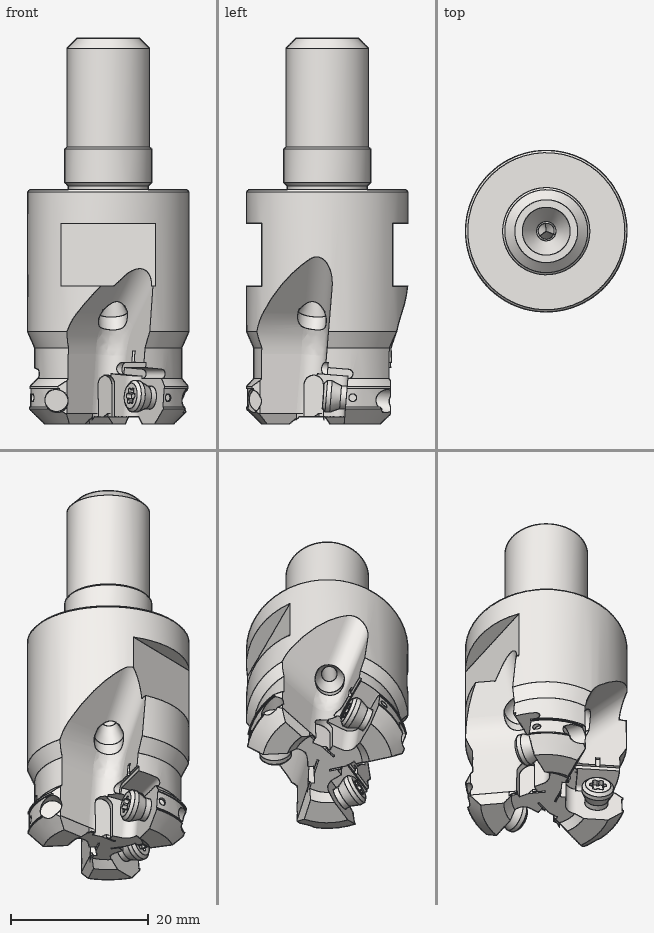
import cadquery as cq
import math

TOTAL_HEIGHT = 56.05
TOOTH_COUNT = 3
FIRST_TOOTH_ANGLE = -60.0

BODY_DIAMETER = 23.5
BODY_RADIUS = BODY_DIAMETER / 2
BODY_TOP = 34.05
BODY_BOTTOM = 13.45
BODY_CHAMFER = 0.35
NECK_RADIUS = 10.7
NECK_TOP = 11.1
COLLAR_TOP = 6.6
COLLAR_RIM_TOP = 5.5
COLLAR_RIM_BOTTOM = 2.2
COLLAR_RIM_HEIGHT = 0.3
COLLAR_BAND_RADIUS = 11.6
END_FACE_RADIUS = 9.5

SHANK_DIAMETER = 12.05
SHANK_RADIUS = SHANK_DIAMETER / 2
SHANK_CHAMFER = 1.45
PILOT_RADIUS = 6.35
PILOT_TOP = 40.25
PILOT_BOTTOM = 35.1
UNDERCUT_RADIUS = 5.8
UNDERCUT_CHAMFER = 0.5

END_RECESS_DEPTH = 1.05
END_RECESS_OUTER_RADIUS = 6.15
END_RECESS_INNER_RADIUS = 5.05

FLAT_DISTANCE = 9.5
FLAT_BOTTOM = 20.05
FLAT_TOP = 29.15

CENTRE_MOUTH_RADIUS = 3.5
CENTRE_MOUTH_HALF_ANGLE = 30.0
BORE_RADIUS = 1.4
BRANCH_RADIUS = 1.1
BRANCH_START = 33.05
OUTLET_RADIUS = 2.15
OUTLET_POINT = cq.Vector(5.25, -2.25, 15.15)
OUTLET_ABOVE = 1.1
OUTLET_BELOW = 3.35
OUTLET_TAPER_LENGTH = 2.8

RAKE_ANGLE = 4.7
RAKE_PIVOT_HEIGHT = 11.2
FLOOR_NORMAL_ANGLE = 19.0
FLOOR_OFFSET = 1.5
FLOOR_STRAIGHT_TOP = 10.15
FLOOR_ARC_RADIUS = 9.35
FLOOR_SLOPE_ANGLE = 39.0
FLOOR_BEVEL_HEIGHT = 1.55
FLOOR_BEVEL_DEPTH = 0.75
FLUTE_CORNER_RADIUS = 2.75
CUT_REACH = 16.8
CUT_MARGIN = 1.1
EDGE_TOLERANCE = 0.005

SEAT_DEPTH = 3.35
SEAT_INNER = 2.85
SEAT_CORNER_RADIUS = 1.7
SEAT_TOP = 7.2
SEAT_RELIEF_RADIUS = 0.7
WALL_RELIEF_RADIUS = 0.9
WALL_RELIEF_START = 4.75
WALL_RELIEF_DEPTH = 0.35
WALL_RELIEF_HEIGHT = 8.05
SLOT_BOTTOM = 2.0
SLOT_WIDTH = 2.8
SLOT_CENTRE = -1.95
SLOT_TOP = 7.1
WALL_GROOVE_RADIUS = 0.35
WALL_GROOVE_TOP = 10.65
MARK_HOLE_RADIUS = 0.55
MARK_HOLE_OFFSET = 3.7
MARK_HOLE_FLOOR = 10.55

HEEL_DISTANCE = 9.2
HEEL_INNER = 4.5

SCREW_DISTANCE = 7.5
SCREW_HEIGHT = 4.1
SCREW_END = 7.35
SCREW_RADIUS = 1.7
HEAD_RADIUS = 2.3
HEAD_FACE_RADIUS = 1.85
HEAD_CHAMFER = 0.45
HEAD_LENGTH = 0.7
HEAD_CONE_END = 2.5
STAR_RADIUS = 0.9
STAR_LOBE_RADIUS = 0.35
STAR_LOBES = 6
STAR_DEPTH = 0.85


def rake(shape):
    """Lean a shape of the tooth frame by the rake angle of the flute wall."""
    pivot = (0, 0, RAKE_PIVOT_HEIGHT)
    return shape.rotate(pivot, (1, 0, RAKE_PIVOT_HEIGHT), -RAKE_ANGLE)


def unrake(shape):
    """Lean a shape the opposite way, so that the raked wall stands upright."""
    pivot = (0, 0, RAKE_PIVOT_HEIGHT)
    return shape.rotate(pivot, (1, 0, RAKE_PIVOT_HEIGHT), RAKE_ANGLE)


def at_tooth(shape, index):
    """Turn a shape from the tooth frame to the place of one tooth."""
    angle = FIRST_TOOTH_ANGLE + index * 360 / TOOTH_COUNT
    return shape.rotate((0, 0, 0), (0, 0, 1), angle)


def rod(radius, start, end):
    """Cylinder between two points."""
    axis = end - start
    return cq.Workplane(cq.Solid.makeCylinder(radius, axis.Length, start, axis))


def block(x_range, y_range, z_range):
    """Box between the low and high limits along each axis."""
    sizes = [high - low for low, high in (x_range, y_range, z_range)]
    corner = (x_range[0], y_range[0], z_range[0])
    return cq.Workplane().box(*sizes, centered=False).translate(corner)


def turned_body():
    outline = [
        (0, 0),
        (END_FACE_RADIUS, 0),
        (BODY_RADIUS, COLLAR_RIM_BOTTOM),
        (BODY_RADIUS, COLLAR_RIM_BOTTOM + COLLAR_RIM_HEIGHT),
        (COLLAR_BAND_RADIUS, COLLAR_RIM_BOTTOM + COLLAR_RIM_HEIGHT),
        (COLLAR_BAND_RADIUS, COLLAR_RIM_TOP - COLLAR_RIM_HEIGHT),
        (BODY_RADIUS, COLLAR_RIM_TOP - COLLAR_RIM_HEIGHT),
        (BODY_RADIUS, COLLAR_RIM_TOP),
        (NECK_RADIUS, COLLAR_TOP),
        (NECK_RADIUS, NECK_TOP),
        (BODY_RADIUS, BODY_BOTTOM),
        (BODY_RADIUS, BODY_TOP - BODY_CHAMFER),
        (BODY_RADIUS - BODY_CHAMFER, BODY_TOP),
        (UNDERCUT_RADIUS, BODY_TOP),
        (UNDERCUT_RADIUS, PILOT_BOTTOM - UNDERCUT_CHAMFER),
        (PILOT_RADIUS, PILOT_BOTTOM),
        (PILOT_RADIUS, PILOT_TOP - (PILOT_RADIUS - SHANK_RADIUS)),
        (SHANK_RADIUS, PILOT_TOP),
        (SHANK_RADIUS, TOTAL_HEIGHT - SHANK_CHAMFER),
        (SHANK_RADIUS - SHANK_CHAMFER, TOTAL_HEIGHT),
        (0, TOTAL_HEIGHT),
    ]
    return cq.Workplane("XZ").polyline(outline).close().revolve(360, (0, 0), (0, 1))


def end_recess():
    outline = [
        (0, 0),
        (END_RECESS_OUTER_RADIUS, 0),
        (END_RECESS_INNER_RADIUS, END_RECESS_DEPTH),
        (0, END_RECESS_DEPTH),
    ]
    return cq.Workplane("XZ").polyline(outline).close().revolve(360, (0, 0), (0, 1))


def wrench_flat(side):
    near, far = sorted((side * FLAT_DISTANCE, side * CUT_REACH))
    return block((-CUT_REACH, CUT_REACH), (near, far), (FLAT_BOTTOM, FLAT_TOP))


def centre_bore():
    mouth_depth = (CENTRE_MOUTH_RADIUS - BORE_RADIUS) / math.tan(math.radians(CENTRE_MOUTH_HALF_ANGLE))
    outline = [
        (0, BRANCH_START),
        (BORE_RADIUS, BRANCH_START),
        (BORE_RADIUS, TOTAL_HEIGHT - mouth_depth),
        (CENTRE_MOUTH_RADIUS, TOTAL_HEIGHT),
        (0, TOTAL_HEIGHT),
    ]
    return cq.Workplane("XZ").polyline(outline).close().revolve(360, (0, 0), (0, 1))


def coolant_branch():
    """Channel from the centre bore to its wider outlet in the flute."""
    start = cq.Vector(0, 0, BRANCH_START)
    down = (OUTLET_POINT - start).normalized()
    outlet_top = OUTLET_POINT - down * OUTLET_ABOVE
    channel = rod(BRANCH_RADIUS, start, outlet_top)
    outlet = rod(OUTLET_RADIUS, outlet_top, OUTLET_POINT + down * OUTLET_BELOW)
    taper = cq.Solid.makeCone(OUTLET_RADIUS, BRANCH_RADIUS, OUTLET_TAPER_LENGTH, outlet_top, down * -1)
    return channel.union(outlet).union(cq.Workplane(taper))


def flute():
    """Space in front of a tooth: a floor that runs out upward, a raked wall and a rounded corner."""
    slope = math.radians(FLOOR_SLOPE_ANGLE)
    half = slope / 2

    def arc_point(angle):
        return (
            FLOOR_OFFSET + FLOOR_ARC_RADIUS * (1 - math.cos(angle)),
            FLOOR_STRAIGHT_TOP + FLOOR_ARC_RADIUS * math.sin(angle),
        )

    arc_end = arc_point(slope)
    runout_top = arc_end[1] + (CUT_REACH - arc_end[0]) / math.tan(slope)
    floor = (
        cq.Workplane("XZ")
        .moveTo(FLOOR_OFFSET, -CUT_MARGIN)
        .lineTo(FLOOR_OFFSET, FLOOR_STRAIGHT_TOP)
        .threePointArc(arc_point(half), arc_end)
        .lineTo(CUT_REACH, runout_top)
        .lineTo(CUT_REACH, -CUT_MARGIN)
        .close()
        .extrude(CUT_REACH, both=True)
        .rotate((0, 0, 0), (0, 0, 1), FLOOR_NORMAL_ANGLE)
    )
    below_wall = block((-2 * CUT_REACH, 2 * CUT_REACH), (-2 * CUT_REACH, 0), (-CUT_REACH, TOTAL_HEIGHT))
    space = unrake(floor).intersect(below_wall)
    corner = cq.selectors.BoxSelector(
        (0, -EDGE_TOLERANCE, 0), (CUT_REACH - CUT_MARGIN, EDGE_TOLERANCE, TOTAL_HEIGHT)
    )
    return rake(space.edges(corner).fillet(FLUTE_CORNER_RADIUS))


def insert_seat():
    """Pocket for the insert with relief grooves along its upper edges."""
    pocket = block((SEAT_INNER, CUT_REACH), (-CUT_MARGIN, SEAT_DEPTH), (-CUT_REACH, SEAT_TOP))
    pocket = pocket.edges("|Z and >Y and <X").fillet(SEAT_CORNER_RADIUS)
    relief_start = SEAT_INNER + SEAT_CORNER_RADIUS
    relief_height = SEAT_TOP + SEAT_RELIEF_RADIUS / 2
    edge_relief = rod(
        SEAT_RELIEF_RADIUS,
        cq.Vector(relief_start, SEAT_DEPTH, relief_height),
        cq.Vector(CUT_REACH, SEAT_DEPTH, relief_height),
    )
    edge_relief = edge_relief.union(
        block(
            (relief_start, CUT_REACH),
            (-CUT_MARGIN, SEAT_DEPTH),
            (SEAT_TOP - SEAT_RELIEF_RADIUS, relief_height + SEAT_RELIEF_RADIUS),
        )
    )
    relief_end = rod(
        WALL_RELIEF_RADIUS,
        cq.Vector(WALL_RELIEF_START, -CUT_MARGIN, WALL_RELIEF_HEIGHT),
        cq.Vector(WALL_RELIEF_START, WALL_RELIEF_DEPTH, WALL_RELIEF_HEIGHT),
    )
    wall_relief = block(
        (WALL_RELIEF_START, CUT_REACH),
        (-CUT_MARGIN, WALL_RELIEF_DEPTH),
        (SEAT_TOP - WALL_RELIEF_RADIUS, WALL_RELIEF_HEIGHT + WALL_RELIEF_RADIUS),
    ).union(relief_end)
    wall_groove = rod(
        WALL_GROOVE_RADIUS,
        cq.Vector(SCREW_DISTANCE, 0, SEAT_TOP),
        cq.Vector(SCREW_DISTANCE, 0, WALL_GROOVE_TOP),
    )
    return rake(pocket.union(edge_relief).union(wall_relief).union(wall_groove))


def floor_slot():
    """Round-ended clearance slot in the flute corner, open at the cutting end."""
    radius = SLOT_WIDTH / 2
    end_height = SLOT_TOP - radius
    straight = block(
        (SLOT_BOTTOM, CUT_REACH / 2),
        (SLOT_CENTRE - radius, SLOT_CENTRE + radius),
        (-CUT_MARGIN, end_height),
    )
    round_end = rod(
        radius,
        cq.Vector(SLOT_BOTTOM, SLOT_CENTRE, end_height),
        cq.Vector(CUT_REACH / 2, SLOT_CENTRE, end_height),
    )
    return straight.union(round_end)


def floor_bevel():
    """Wedge that slopes the floor back toward the cutting end."""
    return (
        cq.Workplane("XZ")
        .polyline(
            [
                (FLOOR_OFFSET, FLOOR_BEVEL_HEIGHT),
                (FLOOR_OFFSET - FLOOR_BEVEL_DEPTH, 0),
                (FLOOR_OFFSET, 0),
            ]
        )
        .close()
        .extrude(CUT_REACH)
        .rotate((0, 0, 0), (0, 0, 1), FLOOR_NORMAL_ANGLE)
    )


def heel_relief():
    """Flat that trims the collar at the back of a tooth."""
    return block((HEEL_INNER, CUT_REACH), (HEEL_DISTANCE, CUT_REACH), (0, COLLAR_TOP))


def screw_hole():
    return rake(
        rod(
            SCREW_RADIUS,
            cq.Vector(SCREW_DISTANCE, SEAT_DEPTH - CUT_MARGIN, SCREW_HEIGHT),
            cq.Vector(SCREW_DISTANCE, CUT_REACH, SCREW_HEIGHT),
        )
    )


def mark_hole():
    height = (COLLAR_RIM_BOTTOM + COLLAR_RIM_TOP) / 2
    return rod(
        MARK_HOLE_RADIUS,
        cq.Vector(MARK_HOLE_FLOOR, MARK_HOLE_OFFSET, height),
        cq.Vector(CUT_REACH, MARK_HOLE_OFFSET, height),
    )


def cutter_body():
    body = turned_body().cut(end_recess()).cut(centre_bore())
    for side in (-1, 1):
        body = body.cut(wrench_flat(side))
    tooth_cuts = [
        flute(),
        floor_bevel(),
        insert_seat(),
        floor_slot(),
        heel_relief(),
        screw_hole(),
        mark_hole(),
        coolant_branch(),
    ]
    for index in range(TOOTH_COUNT):
        for cut in tooth_cuts:
            body = body.cut(at_tooth(cut, index))
    return body


def star_socket():
    socket = cq.Workplane("XY").circle(STAR_RADIUS).extrude(STAR_DEPTH)
    lobes = (
        cq.Workplane("XY")
        .polarArray(STAR_RADIUS, 0, 360, STAR_LOBES)
        .circle(STAR_LOBE_RADIUS)
        .extrude(STAR_DEPTH)
    )
    return socket.union(lobes)


def insert_screw():
    """Countersunk screw, its head face level with the flute wall."""
    outline = [
        (0, 0),
        (HEAD_FACE_RADIUS, 0),
        (HEAD_RADIUS, HEAD_CHAMFER),
        (HEAD_RADIUS, HEAD_CHAMFER + HEAD_LENGTH),
        (SCREW_RADIUS, HEAD_CONE_END),
        (SCREW_RADIUS, SCREW_END),
        (0, SCREW_END),
    ]
    screw = cq.Workplane("XZ").polyline(outline).close().revolve(360, (0, 0), (0, 1))
    screw = screw.cut(star_socket())
    screw = screw.rotate((0, 0, 0), (1, 0, 0), -90)
    return rake(screw.translate((SCREW_DISTANCE, 0, SCREW_HEIGHT)))


cutter = cutter_body().solids()
screws = [at_tooth(insert_screw(), index) for index in range(TOOTH_COUNT)]

result = cq.Compound.makeCompound([cutter.val(), *[screw.val() for screw in screws]])